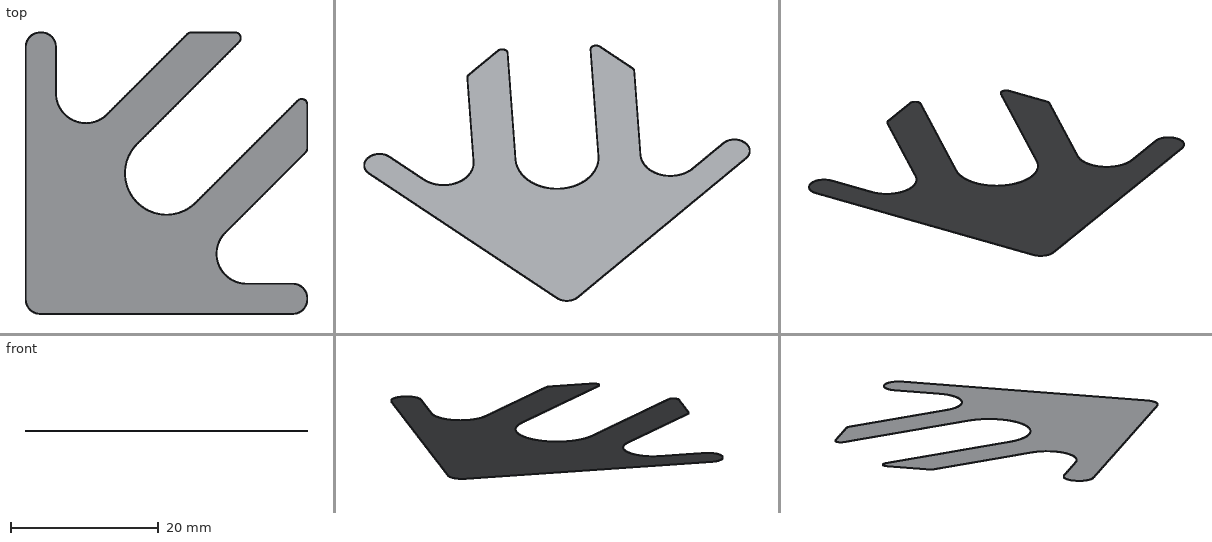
import cadquery as cq
import math

side = 38.1
thickness = 0.06
arm_width = 4.1
arm_corner_radius = 2.0
notch_radius = 4.05
notch_reach = 29.87
slot_radius = 5.6
finger_corner_radius = 0.75

slot_center = side / 2
notch_center = arm_width + notch_radius
diagonal = math.sqrt(0.5)
notch_offset = notch_radius * diagonal
slot_offset = slot_radius * diagonal
finger_outer_x = side - (notch_reach - notch_center) + 2 * notch_offset
finger_inner_x = side - 2 * slot_offset
notch_bisector = math.radians(247.5)
notch_mid_x = notch_center + notch_radius * math.cos(notch_bisector)
notch_mid_y = notch_reach + notch_radius * math.sin(notch_bisector)

outline = (
    cq.Workplane("XY")
    .lineTo(0, side)
    .lineTo(arm_width, side)
    .lineTo(arm_width, notch_reach)
    .threePointArc(
        (notch_mid_x, notch_mid_y),
        (notch_center + notch_offset, notch_reach - notch_offset),
    )
    .lineTo(finger_outer_x, side)
    .lineTo(finger_inner_x, side)
    .lineTo(slot_center - slot_offset, slot_center + slot_offset)
    .threePointArc(
        (slot_center - slot_offset, slot_center - slot_offset),
        (slot_center + slot_offset, slot_center - slot_offset),
    )
    .lineTo(side, finger_inner_x)
    .lineTo(side, finger_outer_x)
    .lineTo(notch_reach - notch_offset, notch_center + notch_offset)
    .threePointArc(
        (notch_mid_y, notch_mid_x),
        (notch_reach, arm_width),
    )
    .lineTo(side, arm_width)
    .lineTo(side, 0)
    .close()
)
plate = outline.extrude(thickness)


def round_corners(body, corners, radius):
    """Round the vertical edges at the given XY corners."""
    edges = cq.Workplane("XY")
    for x, y in corners:
        nearest = cq.selectors.NearestToPointSelector((x, y, thickness / 2))
        edges = edges.add(body.edges("|Z").edges(nearest))
    return body.newObject([body.val().fillet(radius, edges.vals())])


arm_corners = [(0, 0), (0, side), (arm_width, side), (side, arm_width), (side, 0)]
finger_corners = [
    (finger_outer_x, side),
    (finger_inner_x, side),
    (side, finger_inner_x),
    (side, finger_outer_x),
]
plate = round_corners(plate, arm_corners, arm_corner_radius)
result = round_corners(plate, finger_corners, finger_corner_radius)